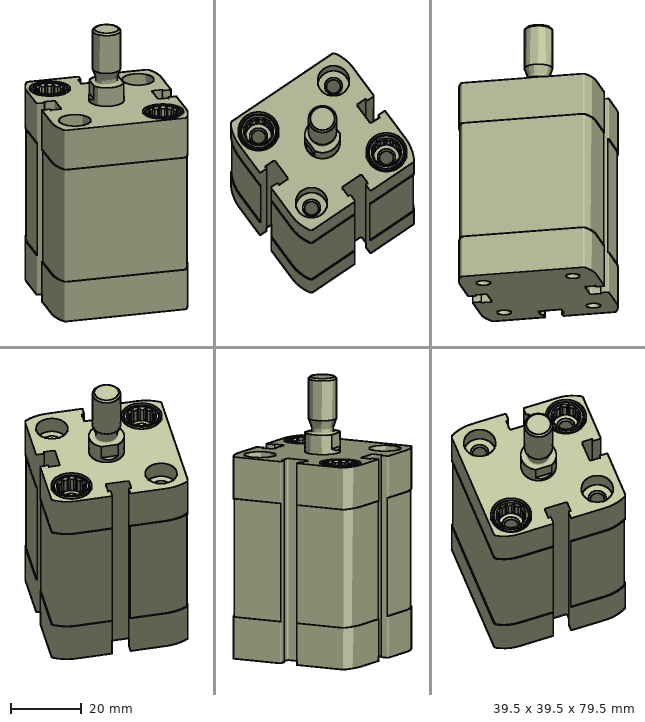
import cadquery as cq
import math

TOTAL_HEIGHT = 79.55
CAP_WIDTH = 39.5
HOUSING_HEIGHT = 58.0
CAP_HEIGHT = 12.0
TUBE_INSET = 0.2

CORNER_ARC_DIAMETER = 25.4
CORNER_EDGE_FILLET = 0.95
HOLE_OFFSET = 13.0

SLOT_ANGLES = (0, 90, 180)
SLOT_MOUTH_WIDTH = 5.25
SLOT_INNER_WIDTH = 6.8
SLOT_DEPTH = 5.6
SLOT_LIP = 2.4
SLOT_LIP_RADIUS = TUBE_INSET
SLOT_FLOOR_FILLET = 0.5

THROUGH_DIAMETER = 4.0
COUNTERSINK_DIAMETER = 5.0
COUNTERBORE_DIAMETER = 9.0
COUNTERBORE_DEPTH = 4.8
PLAIN_CORNERS = ((-1, 1), (1, -1))

RINGED_CORNERS = ((1, 1), (-1, -1))
GROOVE_DIAMETER = 11.5
COLLAR_DIAMETER = 10.5
COLLAR_CHAMFER = 0.4
SOCKET_BORE_DIAMETER = 7.5
SOCKET_POINT_DIAMETER = 8.35
SOCKET_POINT_DEPTH = 4.45
SOCKET_MOUTH_DIAMETER = 8.4
SOCKET_MOUTH_DEPTH = 0.7
SOCKET_SQUARES = 3
FIRST_POINT_TURN = 45

THREAD_DIAMETER = 7.95
THREAD_CHAMFER = 0.55
THREAD_LENGTH = 12.0
NECK_DIAMETER = 6.1
TAPER_LENGTH = 2.5
TAPER_FILLET = 0.8
NECK_LENGTH = 1.5
SHOULDER_FILLET = 0.5
SHOULDER_DIAMETER = 10.0
FLAT_WIDTH = 8.75
FLAT_HEIGHT = 4.05
FLAT_RUNOUT = 0.6


def outline_prism(half_width, base, height):
    """Square bar whose +Y and -Y faces curve down toward the X faces at each corner."""
    arc_radius = CORNER_ARC_DIAMETER / 2
    run = half_width - HOLE_OFFSET
    sag = arc_radius - math.sqrt(arc_radius**2 - run**2)
    corner = half_width - sag
    return (
        cq.Workplane("XY", origin=(0, 0, base))
        .moveTo(-HOLE_OFFSET, half_width)
        .lineTo(HOLE_OFFSET, half_width)
        .radiusArc((half_width, corner), arc_radius)
        .lineTo(half_width, -corner)
        .radiusArc((HOLE_OFFSET, -half_width), arc_radius)
        .lineTo(-HOLE_OFFSET, -half_width)
        .radiusArc((-half_width, -corner), arc_radius)
        .lineTo(-half_width, corner)
        .radiusArc((-HOLE_OFFSET, half_width), arc_radius)
        .close()
        .extrude(height)
        .edges("|Z and (<X or >X)")
        .fillet(CORNER_EDGE_FILLET)
    )


def slot_cutter():
    """T-slot with rounded lips for the +Y face, as high as the housing."""
    face = CAP_WIDTH / 2
    mouth = SLOT_MOUTH_WIDTH / 2
    inner = SLOT_INNER_WIDTH / 2
    r = SLOT_LIP_RADIUS
    lip = face - SLOT_LIP
    floor = face - SLOT_DEPTH
    return (
        cq.Workplane("XY")
        .moveTo(mouth + r, face)
        .radiusArc((mouth, face - r), -r)
        .lineTo(mouth, lip + r)
        .radiusArc((mouth + r, lip), -r)
        .lineTo(inner, lip)
        .lineTo(inner, floor)
        .lineTo(-inner, floor)
        .lineTo(-inner, lip)
        .lineTo(-mouth - r, lip)
        .radiusArc((-mouth, lip + r), -r)
        .lineTo(-mouth, face - r)
        .radiusArc((-mouth - r, face), -r)
        .close()
        .extrude(HOUSING_HEIGHT)
        .edges("|Z and <Y")
        .fillet(SLOT_FLOOR_FILLET)
    )


def cone(bottom_diameter, top_diameter, top, height):
    """Truncated cone on the Z axis that ends at the height `top`."""
    return (
        cq.Workplane("XZ")
        .moveTo(0, top - height)
        .lineTo(bottom_diameter / 2, top - height)
        .lineTo(top_diameter / 2, top)
        .lineTo(0, top)
        .close()
        .revolve(360, (0, 0), (0, 1))
    )


def through_hole():
    """Countersunk hole from the counterbore floor through the bottom, on the Z axis."""
    floor = HOUSING_HEIGHT - COUNTERBORE_DEPTH
    hole = cq.Workplane("XY").circle(THROUGH_DIAMETER / 2).extrude(floor)
    countersink_depth = (COUNTERSINK_DIAMETER - THROUGH_DIAMETER) / 2
    return hole.union(cone(THROUGH_DIAMETER, COUNTERSINK_DIAMETER, floor, countersink_depth))


def counterbore(diameter):
    """Round recess on the Z axis, open at the top of the housing."""
    floor = HOUSING_HEIGHT - COUNTERBORE_DEPTH
    return cq.Workplane("XY", origin=(0, 0, floor)).circle(diameter / 2).extrude(COUNTERBORE_DEPTH)


def socket():
    """Twelve-point socket: a bore and three turned squares, with a conical mouth."""
    recess = counterbore(SOCKET_BORE_DIAMETER)
    side = SOCKET_POINT_DIAMETER / math.sqrt(2)
    floor = HOUSING_HEIGHT - SOCKET_POINT_DEPTH
    for index in range(SOCKET_SQUARES):
        turn = 90 / SOCKET_SQUARES * index
        square = cq.Workplane("XY", origin=(0, 0, floor)).rect(side, side).extrude(SOCKET_POINT_DEPTH)
        recess = recess.union(square.rotate((0, 0, 0), (0, 0, 1), FIRST_POINT_TURN + turn))
    mouth = cone(SOCKET_BORE_DIAMETER, SOCKET_MOUTH_DIAMETER, HOUSING_HEIGHT, SOCKET_MOUTH_DEPTH)
    return recess.union(mouth)


def ringed_recess():
    """Groove around a chamfered collar, together with the socket inside the collar."""
    collar = counterbore(COLLAR_DIAMETER).faces(">Z").chamfer(COLLAR_CHAMFER)
    return counterbore(GROOVE_DIAMETER).cut(collar.cut(socket()))


def make_housing():
    """Cylinder tube between two slightly wider end caps."""
    cap_half = CAP_WIDTH / 2
    tube_height = HOUSING_HEIGHT - 2 * CAP_HEIGHT
    body = outline_prism(cap_half - TUBE_INSET, CAP_HEIGHT, tube_height)
    for base in (0, HOUSING_HEIGHT - CAP_HEIGHT):
        body = body.union(outline_prism(cap_half, base, CAP_HEIGHT))
    for angle in SLOT_ANGLES:
        body = body.cut(slot_cutter().rotate((0, 0, 0), (0, 0, 1), angle))

    plain_cut = counterbore(COUNTERBORE_DIAMETER).union(through_hole())
    ringed_cut = ringed_recess().union(through_hole())
    for cutter, corners in ((plain_cut, PLAIN_CORNERS), (ringed_cut, RINGED_CORNERS)):
        for x_side, y_side in corners:
            body = body.cut(cutter.translate((x_side * HOLE_OFFSET, y_side * HOLE_OFFSET, 0)))
    return body


def wrench_flat_cutter(shoulder_top):
    """Material removed for the +Y wrench flat, whose lower end slopes down outward."""
    flat = FLAT_WIDTH / 2
    edge = SHOULDER_DIAMETER / 2
    flat_bottom = shoulder_top - FLAT_HEIGHT
    return (
        cq.Workplane("YZ")
        .moveTo(flat, shoulder_top)
        .lineTo(flat, flat_bottom)
        .lineTo(edge, flat_bottom - FLAT_RUNOUT)
        .lineTo(edge, shoulder_top)
        .close()
        .extrude(edge, both=True)
    )


def make_piston_rod():
    """Thread-sized end, taper, neck and shoulder, standing on the housing's top face."""
    thread_radius = THREAD_DIAMETER / 2
    neck_radius = NECK_DIAMETER / 2
    shoulder_radius = SHOULDER_DIAMETER / 2
    thread_bottom = TOTAL_HEIGHT - THREAD_LENGTH
    taper_bottom = thread_bottom - TAPER_LENGTH
    shoulder_top = taper_bottom - NECK_LENGTH
    rod = (
        cq.Workplane("XZ")
        .moveTo(0, HOUSING_HEIGHT)
        .lineTo(shoulder_radius, HOUSING_HEIGHT)
        .lineTo(shoulder_radius, shoulder_top)
        .lineTo(neck_radius + SHOULDER_FILLET, shoulder_top)
        .radiusArc((neck_radius, shoulder_top + SHOULDER_FILLET), SHOULDER_FILLET)
        .lineTo(neck_radius, taper_bottom)
        .lineTo(thread_radius, thread_bottom)
        .lineTo(thread_radius, TOTAL_HEIGHT - THREAD_CHAMFER)
        .lineTo(thread_radius - THREAD_CHAMFER, TOTAL_HEIGHT)
        .lineTo(0, TOTAL_HEIGHT)
        .close()
        .revolve(360, (0, 0), (0, 1))
    )
    search_margin = SHOULDER_FILLET / 2
    taper_foot = cq.selectors.BoxSelector(
        (-thread_radius, -thread_radius, taper_bottom - search_margin),
        (thread_radius, thread_radius, taper_bottom + search_margin),
    )
    rod = rod.edges(taper_foot).fillet(TAPER_FILLET)
    flat_cutter = wrench_flat_cutter(shoulder_top)
    return rod.cut(flat_cutter).cut(flat_cutter.mirror("XZ"))


housing = make_housing()
piston_rod = make_piston_rod()

result = cq.Compound.makeCompound([housing.val(), piston_rod.val()])